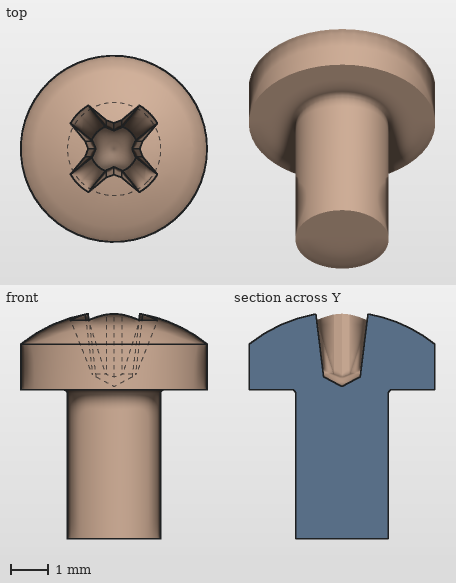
import cadquery as cq
import math


head_radius = 2.5
head_height = 2.1
dome_radius = 4.0
shank_radius = 1.25
shank_length = 4.0
neck_fillet = 0.1

rim_radius = 1.35
wing_end_angle = 26.5
floor_radius = 0.635
floor_slope = 28.0
corner_radius = 0.495
corner_draft = 7.0
corner_nose_angle = 138.0
corner_nose_half_width = 0.21
flank_angle = 98.0
wing_count = 4


def tan_deg(angle):
    return math.tan(math.radians(angle))


def dome_height(radius):
    """Height of the dome surface at a given distance from the axis."""
    centre = head_height - dome_radius
    return centre + math.sqrt(dome_radius**2 - radius**2)


rim_z = dome_height(rim_radius)
floor_z = rim_z - (rim_radius - floor_radius) / tan_deg(wing_end_angle)
floor_tip_z = floor_z - floor_radius * tan_deg(floor_slope)


def make_body():
    mid_radius = head_radius / 2
    profile = (
        cq.Workplane("XZ")
        .moveTo(0, -shank_length)
        .lineTo(shank_radius, -shank_length)
        .lineTo(shank_radius, -neck_fillet)
        .radiusArc((shank_radius + neck_fillet, 0), neck_fillet)
        .lineTo(head_radius, 0)
        .lineTo(head_radius, dome_height(head_radius))
        .threePointArc((mid_radius, dome_height(mid_radius)), (0, head_height))
        .close()
    )
    return profile.revolve(360, (0, 0, 0), (0, 1, 0))


def make_recess_cone():
    """Envelope of the recess: conical wing ends over a conical floor."""
    top_radius = rim_radius + (head_height - rim_z) * tan_deg(wing_end_angle)
    profile = (
        cq.Workplane("XZ")
        .moveTo(0, floor_tip_z)
        .lineTo(floor_radius, floor_z)
        .lineTo(top_radius, head_height)
        .lineTo(0, head_height)
        .close()
    )
    return profile.revolve(360, (0, 0, 0), (0, 1, 0))


def corner_section(z):
    """Corner outline on +Y at height z, as a closed wire reaching beyond the envelope."""
    ridge_y = corner_radius + (z - floor_z) * tan_deg(corner_draft)
    nose_y = ridge_y + corner_nose_half_width / tan_deg(corner_nose_angle / 2)
    flank_run = 2 * rim_radius
    outer_x = corner_nose_half_width + flank_run
    outer_y = nose_y + flank_run / tan_deg(flank_angle / 2)
    outline = [
        (0, ridge_y),
        (corner_nose_half_width, nose_y),
        (outer_x, outer_y),
        (-outer_x, outer_y),
        (-corner_nose_half_width, nose_y),
    ]
    return cq.Wire.makePolygon([cq.Vector(x, y, z) for x, y in outline], close=True)


def make_recess():
    """Cross recess: the envelope less the four corners between the wings."""
    sections = [corner_section(floor_tip_z), corner_section(head_height)]
    corner = cq.Workplane(obj=cq.Solid.makeLoft(sections, True))
    recess = make_recess_cone()
    for i in range(wing_count):
        recess = recess.cut(corner.rotate((0, 0, 0), (0, 0, 1), i * 360 / wing_count))
    return recess


result = make_body().cut(make_recess())